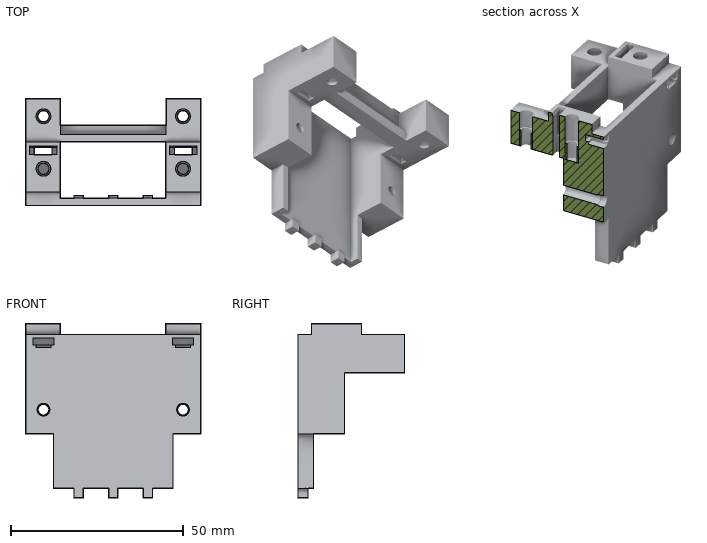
import cadquery as cq

half_width = 25.4
overall_depth = 31.0
overall_height = 50.5
sides = (-1, 1)

post_depth = 13.55
post_bottom_z = 18.55
arm_inner_x = 15.3
right_post_extra_width = 0.1
arm_bottom_z = 36.15
shoulder_z = 47.4
block_front_y = 3.95
block_back_y = 18.5

wall_thickness = 2.2
skirt_half_width = 17.3
skirt_flange_depth = 4.55
skirt_bottom_z = 2.75
tab_width = 2.75
tab_depth = 3.0
tab_pitch = 10.05

crossbar_back_y = 20.55
ledge_back_y = 23.35
ledge_thickness = 3.05

terminal_x = 20.2

terminal_y = (10.65, 25.9)
terminal_diameter = 4.25
sleeve_bore = 3.2
sleeve_length = 5.6

mount_z = 25.55
mount_diameter = 3.1
mount_counterbore_diameter = 3.65
mount_counterbore_depth = 2.0

pocket_top_z = 46.4
pocket_step_z = 44.35
pocket_bottom_z = 43.55
pocket_wide = 6.2
pocket_narrow = 4.2
pocket_wide_depth = 6.1
pocket_narrow_depth = 5.1

slot_x = 20.3
slot_front_y = 14.8
slot_back_y = 17.2
slot_wide = 8.05
slot_narrow = 5.05
slot_step_z = 41.65
lead_in_height = 1.2
lead_in_depth = 0.3


def box(x_range, y_range, z_range):
    """Box that fills the given ranges along X, Y and Z."""
    corner = (x_range[0], y_range[0], z_range[0])
    length = x_range[1] - x_range[0]
    depth = y_range[1] - y_range[0]
    height = z_range[1] - z_range[0]
    return cq.Workplane("XY").box(length, depth, height, centered=False).translate(corner)


def centred_box(x_centre, width, y_range, z_range):
    """Box of the given width, centred on x_centre."""
    return box((x_centre - width / 2, x_centre + width / 2), y_range, z_range)


def side_box(side, x_range, y_range, z_range):
    """Box placed at x_range on the right side, or mirrored to the left side."""
    return box(sorted(side * x for x in x_range), y_range, z_range)


def vertical_cylinder(x, y, diameter, z_range):
    """Cylinder along Z between two heights."""
    base = cq.Workplane("XY").center(x, y).circle(diameter / 2)
    return base.extrude(z_range[1] - z_range[0]).translate((0, 0, z_range[0]))


def cylinder_from_front(x, z, diameter, depth):
    """Cylinder that starts on the front face and runs along +Y."""
    return cq.Workplane("XZ").center(x, z).circle(diameter / 2).extrude(-depth)


def side_tower(side):
    """Post, arm, terminal block and skirt flange of one side."""
    post_inner_x = arm_inner_x - (right_post_extra_width if side > 0 else 0)
    post_x = (post_inner_x, half_width)
    arm_x = (arm_inner_x, half_width)
    flange_x = (post_inner_x, skirt_half_width)
    post = side_box(side, post_x, (0, post_depth), (post_bottom_z, shoulder_z))
    bridge = side_box(side, post_x, (0, block_back_y), (arm_bottom_z, shoulder_z))
    arm = side_box(side, arm_x, (block_back_y, overall_depth), (arm_bottom_z, shoulder_z))
    block = side_box(side, post_x, (block_front_y, block_back_y), (arm_bottom_z, overall_height))
    flange = side_box(side, flange_x, (0, skirt_flange_depth), (skirt_bottom_z, post_bottom_z))
    return post.union(bridge).union(arm).union(block).union(flange)


def front_wall():
    """Thin wall between the posts, continued downward as the skirt and its three tabs."""
    wall = centred_box(0, 2 * arm_inner_x, (0, wall_thickness), (skirt_bottom_z, shoulder_z))
    for step in (-1, 0, 1):
        tab = centred_box(step * tab_pitch, tab_width, (0, tab_depth), (0, skirt_bottom_z))
        wall = wall.union(tab)
    return wall


def crossbar():
    """Bar joining the two arms, with a lower ledge along its back."""
    span = 2 * arm_inner_x
    bar = centred_box(0, span, (block_back_y, crossbar_back_y), (arm_bottom_z, shoulder_z))
    ledge_top_z = arm_bottom_z + ledge_thickness
    ledge = centred_box(0, span, (crossbar_back_y, ledge_back_y), (arm_bottom_z, ledge_top_z))
    return bar.union(ledge)


def terminal_holes(x):
    """Blind hole in the terminal block and through hole in the arm."""
    holes = cq.Workplane("XY")
    for y in terminal_y:
        holes = holes.add(vertical_cylinder(x, y, terminal_diameter, (arm_bottom_z, overall_height)))
    return holes.combine()


def mount_hole(x):
    """Hole through the post from front to back, with a counterbore in front."""
    counterbore = cylinder_from_front(x, mount_z, mount_counterbore_diameter, mount_counterbore_depth)
    return cylinder_from_front(x, mount_z, mount_diameter, post_depth).union(counterbore)


def front_pocket(x):
    """Blind T-shaped pocket in the front face, with a step between its two depths."""
    upper = centred_box(x, pocket_wide, (0, pocket_wide_depth), (pocket_step_z, pocket_top_z))
    lower = centred_box(x, pocket_narrow, (0, pocket_narrow_depth), (pocket_bottom_z, pocket_step_z))
    return upper.union(lower)


def arm_slot(x):
    """Slot that narrows at a step, with its back wall sloped near the top."""
    wall_y = slot_back_y - lead_in_depth
    upper = centred_box(x, slot_wide, (slot_front_y, wall_y), (slot_step_z, overall_height))
    lower = centred_box(x, slot_narrow, (slot_front_y, wall_y), (arm_bottom_z, slot_step_z))
    lead_in = (
        cq.Workplane("YZ")
        .moveTo(wall_y, overall_height - lead_in_height)
        .lineTo(wall_y, overall_height)
        .lineTo(slot_back_y, overall_height)
        .close()
        .extrude(slot_wide)
        .translate((x - slot_wide / 2, 0, 0))
    )
    return upper.union(lower).union(lead_in)


def make_housing():
    """Housing with all its holes, pockets and slots."""
    housing = front_wall().union(crossbar())
    for side in sides:
        housing = housing.union(side_tower(side))
    housing = housing.clean()
    for side in sides:
        x = side * terminal_x
        housing = housing.cut(terminal_holes(x)).cut(mount_hole(x))
        housing = housing.cut(front_pocket(x)).cut(arm_slot(side * slot_x))
    return housing


def make_sleeve(x, y):
    """Terminal sleeve that fills the bottom of one terminal hole around its bore."""
    z_range = (arm_bottom_z, arm_bottom_z + sleeve_length)
    bore = vertical_cylinder(x, y, sleeve_bore, z_range)
    return vertical_cylinder(x, y, terminal_diameter, z_range).cut(bore)


housing = make_housing()

sleeves = []
for side in sides:
    for y in terminal_y:
        sleeves.append(make_sleeve(side * terminal_x, y).val())

result = cq.Compound.makeCompound([housing.val(), *sleeves])